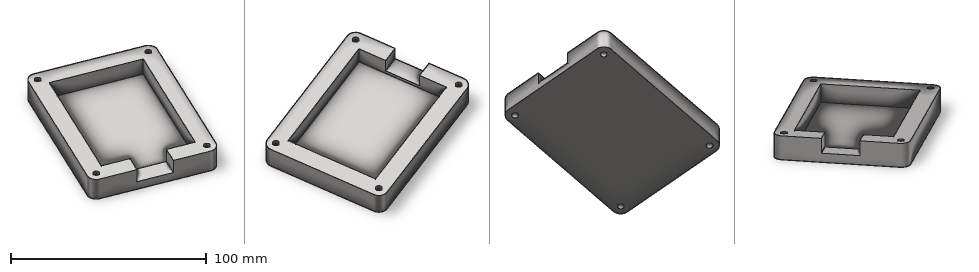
import cadquery as cq

LENGTH = 91.12
WIDTH = 70.8
HEIGHT = 13.0
CORNER_RADIUS = 5.0

WALL = 9.6
POCKET_DEPTH = 10.0
POCKET_LENGTH = LENGTH - 2 * WALL
POCKET_WIDTH = WIDTH - 2 * WALL

NOTCH_WIDTH = 20.0
NOTCH_DEPTH = 8.0

HOLE_DIAMETER = 3.4
HOLE_SPACING_X = LENGTH - 2 * CORNER_RADIUS
HOLE_SPACING_Y = WIDTH - 2 * CORNER_RADIUS


def make_body():
    """Rectangular block with rounded vertical corners."""
    block = cq.Workplane("XY").rect(LENGTH, WIDTH).extrude(HEIGHT)
    return block.edges("|Z").fillet(CORNER_RADIUS)


def make_pocket():
    """Rectangular cavity reaching down from the top face."""
    floor = cq.Workplane("XY").workplane(offset=HEIGHT - POCKET_DEPTH)
    return floor.rect(POCKET_LENGTH, POCKET_WIDTH).extrude(POCKET_DEPTH)


def make_notch():
    """Opening from the pocket out through the +X wall."""
    wall_centre_x = (LENGTH - WALL) / 2
    floor = cq.Workplane("XY").workplane(offset=HEIGHT - NOTCH_DEPTH)
    return floor.center(wall_centre_x, 0).rect(WALL, NOTCH_WIDTH).extrude(NOTCH_DEPTH)


def make_corner_holes():
    """Four holes through the full height."""
    centres = cq.Workplane("XY").rect(HOLE_SPACING_X, HOLE_SPACING_Y, forConstruction=True).vertices()
    return centres.circle(HOLE_DIAMETER / 2).extrude(HEIGHT)


result = make_body().cut(make_pocket()).cut(make_notch()).cut(make_corner_holes())